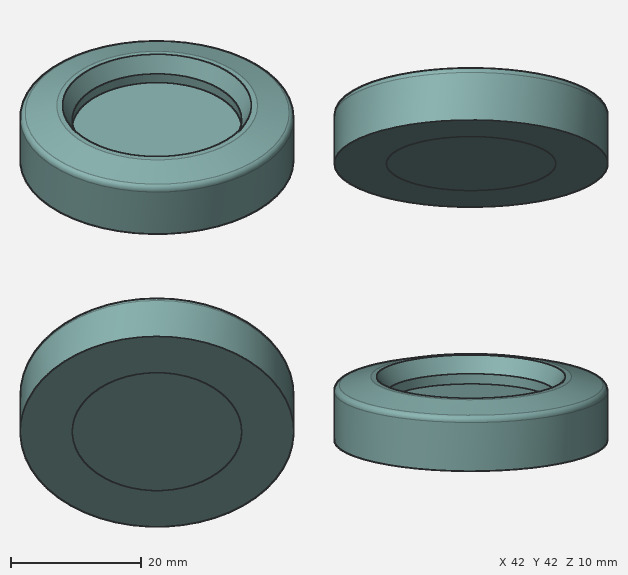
import cadquery as cq
import math

outer_radius = 21.0
height = 10.0
sharp_corner_height = 8.5
top_slope = math.radians(15.0)
edge_rounding = 1.0

opening_radius = 14.5
bore_radius = 13.0
countersink_half_angle = math.radians(30.0)

insert_thickness = 5.8

rim_radius = outer_radius - (height - sharp_corner_height) / math.tan(top_slope)
countersink_depth = (opening_radius - bore_radius) / math.tan(countersink_half_angle)
bore_height = height - countersink_depth

rounding_sweep = math.pi / 2 - top_slope
rounding_center_radius = outer_radius - edge_rounding
rounding_center_height = sharp_corner_height - edge_rounding * math.tan(rounding_sweep / 2)


def rounding_point(angle):
    """Radius and height of a rounding point, with the angle taken up from horizontal."""
    return (
        rounding_center_radius + edge_rounding * math.cos(angle),
        rounding_center_height + edge_rounding * math.sin(angle),
    )


def make_housing():
    """Ring revolved about Z from its half section."""
    return (
        cq.Workplane("XZ")
        .moveTo(bore_radius, 0)
        .lineTo(outer_radius, 0)
        .lineTo(*rounding_point(0))
        .threePointArc(rounding_point(rounding_sweep / 2), rounding_point(rounding_sweep))
        .lineTo(rim_radius, height)
        .lineTo(opening_radius, height)
        .lineTo(bore_radius, bore_height)
        .close()
        .revolve(360, (0, 0, 0), (0, 1, 0))
    )


def make_insert():
    """Disc seated in the bore, flush with the underside of the housing."""
    return cq.Workplane("XY").circle(bore_radius).extrude(insert_thickness)


housing = make_housing()
insert = make_insert()

result = cq.Compound.makeCompound([housing.val(), insert.val()])